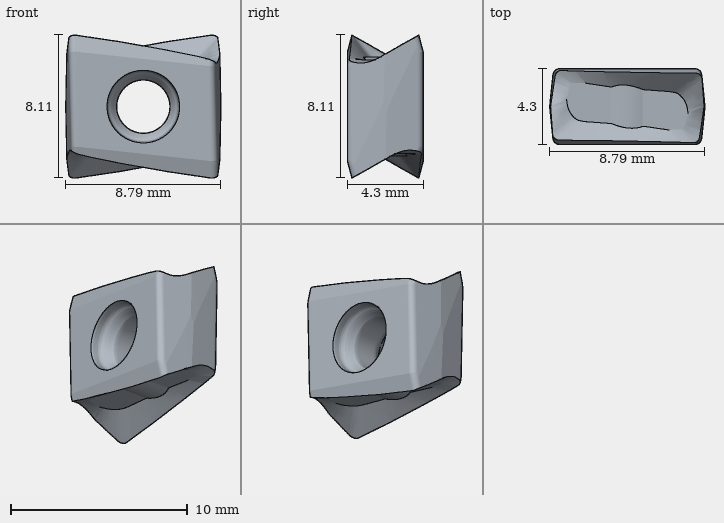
import cadquery as cq

LENGTH = 8.79
THICKNESS = 4.3
BLANK_LENGTH = 10.55
BLANK_HEIGHT = 9.67
HALF_LENGTH = LENGTH / 2
HALF_THICKNESS = THICKNESS / 2
CORNER_RADIUS = 0.37
CORNER_MIN_X = 3.955
CORNER_MIN_Y = 1.32

LAND_PLANE = [
    (-3.86, -HALF_THICKNESS, 3.1),
    (3.68, -HALF_THICKNESS, 2.29),
    (-3.815, -1.9, 4.04),
]

CREST = (-HALF_LENGTH, -0.1, -0.28)
CREST_TURNED = (CREST[0], -CREST[1], -CREST[2])
RIDGE_TOP = (-4.34, 0.0, 2.98)
RIDGE_SIDE = (-4.35, -0.55, 0.85)
RIDGE_BOTTOM = (RIDGE_TOP[0], -RIDGE_TOP[1], -RIDGE_TOP[2])
MAIN_FACET = [CREST, RIDGE_BOTTOM, (-4.08, -1.84, -2.11)]
RIDGE_FACET = [RIDGE_SIDE, CREST, CREST_TURNED]
CORNER_FACET = [RIDGE_TOP, RIDGE_SIDE, (-4.23, -1.7, 3.41)]

FLOOR_Z = 2.655
CAP_Z = 6.15
OVERRUN = 1.25
BACK_STATION = ((-2.37, 1.33), (-2.92, 1.99, 2.865))
BACK_END = ((-3.11, 1.31), (-3.67, 2.04, 2.7))
LOW_END = ((-3.29, 1.09), (-4.17, 1.37, 2.45))
SLOPE_END = ((-3.44, 0.395), (-4.325, 0.0, 2.98))
FLANK_START = ((-3.4, 0.11), (-4.3, -0.42, 3.22))
FLANK_END = ((-3.02, -0.61), (-4.21, -1.54, 3.84))
PEAK = ((-2.68, -0.8), (-3.815, -1.9, 4.05))
FRONT_STATION = ((-2.37, -0.85), (-3.33, -1.9, 3.97))
MIDDLE_START = ((-1.03, -0.95), (-1.33, -1.91, 3.665))
MIDDLE_END = ((0.96, -1.12), (1.37, -1.96, 3.18))
LOW_CORNER_RUN = [BACK_END, ((-3.2, 1.26), (-4.09, 1.84, 2.51)), LOW_END]
SLOPE_RUN = [LOW_END, ((-3.36, 0.67), (-4.25, 0.7, 2.61)), SLOPE_END]
FLANK_RUN = [FLANK_START, ((-3.27, -0.28), (-4.26, -1.01, 3.56)), FLANK_END]
HIGH_CORNER_RUN = [FLANK_END, ((-2.865, -0.73), (-4.105, -1.775, 3.97)), PEAK]

CROWN_HALF_WIDTH = 0.89
CROWN_HEIGHT = 0.15
CROWN_SPAN = 2.81
CROWN_BLEND = 0.26

MOUTH = (2.06, 0.0)
COUNTERBORE_TOP = (2.02, 0.14)
COUNTERBORE_END = (2.0, 0.475)
SEAT_ARC_MID = (1.95, 0.62)
SEAT_TOP = (1.84, 0.765)
CONE_TOP = (1.73, 0.92)
SEAT_END = (1.54, 1.26)
THROAT_ARC_MID = (1.51, 1.38)
THROAT = (1.5, 1.5)


def half_space(points):
    """Large block whose face lies on the plane of the points, on the side away from the centre."""
    first, second, third = (cq.Vector(*p) for p in points)
    normal = (second - first).cross(third - first).normalized()
    if normal.dot(first) < 0:
        normal = normal * -1
    size = 3 * LENGTH
    plane = cq.Plane(origin=first, xDir=second - first, normal=normal)
    return cq.Workplane(plane).box(size, size, size, centered=(True, True, False))


def half_turns(tool):
    """The tool and its three half-turn copies."""
    copies = [tool]
    for axis in ((1, 0, 0), (0, 1, 0), (0, 0, 1)):
        copies.append(tool.rotate((0, 0, 0), axis, 180))
    return copies


def faceted_blank():
    """Block trimmed to the flat faces, the end facets and the lands."""
    blank = cq.Workplane().box(BLANK_LENGTH, THICKNESS, BLANK_HEIGHT)
    for facet in (MAIN_FACET, RIDGE_FACET, CORNER_FACET, LAND_PLANE):
        for tool in half_turns(half_space(facet)):
            blank = blank.cut(tool)
    return blank


def is_corner(edge):
    """True for edges where an end meets a flat face or a land."""
    middle = edge.Center()
    return abs(middle.x) > CORNER_MIN_X and abs(middle.y) > CORNER_MIN_Y


def turned(stations):
    """Stations after half a turn about Z."""
    return [((-fx, -fy), (-rx, -ry, rz)) for (fx, fy), (rx, ry, rz) in stations]


def wall_edges(stations):
    """Matching floor, overrun and cap edges: lines between two stations, curves through more."""
    floor = [cq.Vector(x, y, FLOOR_Z) for (x, y), _ in stations]
    rim = [cq.Vector(*point) for _, point in stations]
    outer = [f + (r - f) * OVERRUN for f, r in zip(floor, rim)]
    cap = [cq.Vector(p.x, p.y, CAP_Z) for p in outer]
    if len(stations) == 2:
        return [cq.Edge.makeLine(*points) for points in (floor, outer, cap)]
    knots = list(range(len(stations)))
    return [cq.Edge.makeSpline(points, parameters=knots) for points in (floor, outer, cap)]


def dish_cutter():
    """Solid filling one dish, from its flat floor up past the part."""
    back_start = turned([MIDDLE_END])[0]
    half = [
        [back_start, BACK_STATION],
        [BACK_STATION, BACK_END],
        LOW_CORNER_RUN,
        SLOPE_RUN,
        [SLOPE_END, FLANK_START],
        FLANK_RUN,
        HIGH_CORNER_RUN,
        [PEAK, FRONT_STATION],
        [FRONT_STATION, MIDDLE_START],
        [MIDDLE_START, MIDDLE_END],
    ]
    runs = half + [turned(run) for run in half]
    faces = []
    floor_edges = []
    cap_edges = []
    for run in runs:
        floor, outer, cap = wall_edges(run)
        faces.append(cq.Face.makeRuledSurface(floor, outer))
        faces.append(cq.Face.makeRuledSurface(outer, cap))
        floor_edges.append(floor)
        cap_edges.append(cap)
    for edges in (floor_edges, cap_edges):
        faces.append(cq.Face.makeFromWires(cq.Wire.assembleEdges(edges)))
    return cq.Workplane(cq.Solid.makeSolid(cq.Shell.makeShell(faces)))


def crown():
    """Shallow cylindrical rise standing on the dish floor."""
    return (
        cq.Workplane("XZ")
        .moveTo(-CROWN_HALF_WIDTH, FLOOR_Z)
        .threePointArc((0, FLOOR_Z + CROWN_HEIGHT), (CROWN_HALF_WIDTH, FLOOR_Z))
        .close()
        .extrude(CROWN_SPAN / 2, both=True)
    )


def screw_hole():
    """Half of the hole, from the -Y face to the middle of the part."""
    def at(point):
        radius, depth = point
        return radius, depth - HALF_THICKNESS

    return (
        cq.Workplane("XY")
        .moveTo(0, -HALF_THICKNESS)
        .lineTo(*at(MOUTH))
        .lineTo(*at(COUNTERBORE_TOP))
        .lineTo(*at(COUNTERBORE_END))
        .threePointArc(at(SEAT_ARC_MID), at(SEAT_TOP))
        .lineTo(*at(CONE_TOP))
        .lineTo(*at(SEAT_END))
        .threePointArc(at(THROAT_ARC_MID), at(THROAT))
        .lineTo(THROAT[0], 0)
        .lineTo(0, 0)
        .close()
        .revolve(360, (0, 0, 0), (0, 1, 0))
    )


body = faceted_blank().edges().filter(is_corner).fillet(CORNER_RADIUS)
dish = dish_cutter().cut(crown()).edges("|Y").fillet(CROWN_BLEND)
hole = screw_hole()
for tool in (dish, hole):
    body = body.cut(tool).cut(tool.rotate((0, 0, 0), (1, 0, 0), 180))
result = body